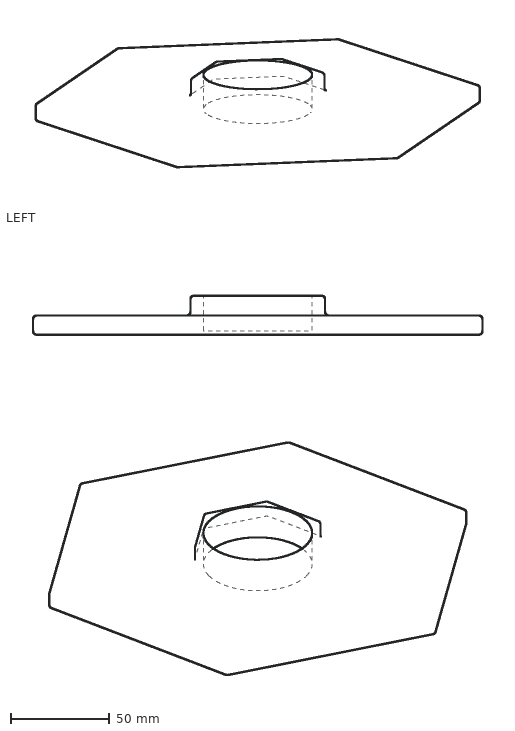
import cadquery as cq
import math

plate_across_flats = 199.0
plate_thickness = 9.9
plate_edge_radius = 1.8

total_height = 20.0
collar_across_flats = 60.0
collar_edge_radius = 1.8
foot_fillet_radius = 1.8

floor_thickness = 1.8
socket_diameter = 55.5
socket_depth = total_height - floor_thickness


def hexagonal_prism(across_flats, height, vertical_edge_radius):
    """Hexagonal prism standing on Z = 0, with flats facing +X and -X."""
    across_corners = across_flats / math.cos(math.pi / 6)
    return (
        cq.Workplane("XY")
        .transformed(rotate=(0, 0, 90))
        .polygon(6, across_corners)
        .extrude(height)
        .edges("|Z")
        .fillet(vertical_edge_radius)
    )


plate = hexagonal_prism(plate_across_flats, plate_thickness, plate_edge_radius)
plate = plate.faces("<Z or >Z").edges().fillet(plate_edge_radius)

collar = hexagonal_prism(collar_across_flats, total_height, collar_edge_radius)
collar = collar.faces(">Z").edges().fillet(collar_edge_radius)

body = plate.union(collar)
selection_reach = collar_across_flats
selection_margin = 0.2
foot_selector = cq.selectors.BoxSelector(
    (-selection_reach, -selection_reach, plate_thickness - selection_margin),
    (selection_reach, selection_reach, plate_thickness + selection_margin),
)
body = body.edges(foot_selector).fillet(foot_fillet_radius)

result = body.faces(">Z").workplane(origin=(0, 0, 0)).circle(socket_diameter / 2).cutBlind(-socket_depth)